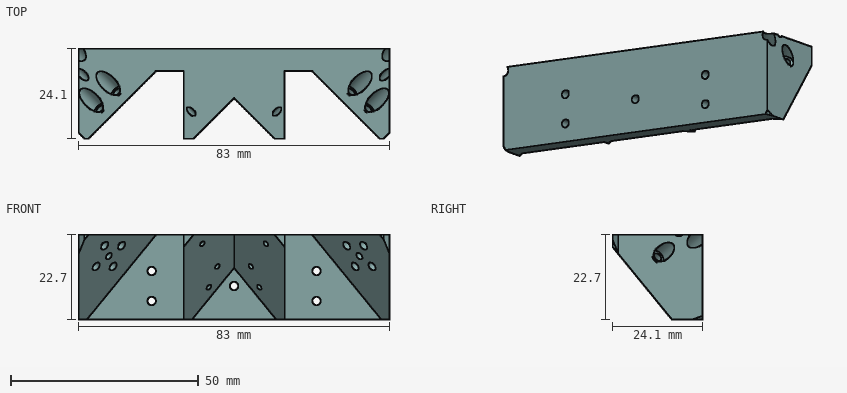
import cadquery as cq
import math

LENGTH = 83.0
DEPTH = 24.06
HEIGHT = 22.7
PLATE_THICKNESS = 6.0
END_CHAMFER = 1.56

TURN_FACTOR = math.sqrt(0.5)
LEAN = math.radians(30)
WING_CORNER_X = -20.8
BLOCK_HALF_WIDTH = 13.5
V_APEX_DEPTH = 13.25

SCREW_DIAMETER = 2.2
SIDE_SCREW_X = 22.0
SIDE_SCREW_HEIGHTS = (5.0, 13.0)
CENTER_SCREW_HEIGHT = 9.0

WING_PATTERN_ALONG = 14.55
WING_PATTERN_DOWN = 6.6
WING_PATTERN_PITCH = 6.4
WING_HOLE_DIAMETER = 2.4
COUNTERBORE_DIAMETER = 4.0
UPPER_BORE_FLOOR = 2.0
LOWER_BORE_FLOOR = 5.0
WING_CENTER_DIAMETER = 2.0

V_HOLES = ((10.6, 2.8), (1.4, 9.8), (1.4, 16.2))
V_HOLE_DIAMETER = 1.5
V_HOLE_DEPTH = 10.0

FACET_X = 0.58
FACET_Y = 2.9
FACET_Z = 1.07

REACH = 2 * LENGTH

INWARD = cq.Vector(-TURN_FACTOR * math.cos(LEAN), TURN_FACTOR * math.cos(LEAN), math.sin(LEAN))
WING_CORNER = (WING_CORNER_X, -PLATE_THICKNESS, HEIGHT)
V_APEX = (0, -V_APEX_DEPTH, HEIGHT)


def mirrored(shape):
    return shape.mirror("YZ")


def face_plane(origin):
    """Plane of a left-hand sloped face: x outward along its top edge, y up the slope, z inward."""
    return cq.Plane(origin=origin, xDir=(-TURN_FACTOR, -TURN_FACTOR, 0), normal=INWARD)


def open_side(origin):
    """Everything in front of a left-hand sloped face."""
    return cq.Workplane(face_plane(origin)).rect(2 * REACH, 2 * REACH).extrude(-REACH)


def drill(origin, along, down, diameter, length, start=0.0):
    """Cylinder square to a sloped face, beginning `start` behind the face."""
    plane = cq.Workplane(face_plane(origin)).workplane(offset=start)
    return plane.center(along, -down).circle(diameter / 2).extrude(length)


def front_space(x_min, x_max):
    """Full-height space in front of the back plate between two x positions."""
    size = (x_max - x_min, DEPTH, HEIGHT)
    return cq.Workplane("XY").box(*size, centered=False).translate((x_min, -PLATE_THICKNESS - DEPTH, 0))


def blank():
    block = cq.Workplane("XY").box(LENGTH, DEPTH, HEIGHT, centered=(True, False, False))
    return block.translate((0, -DEPTH, 0)).faces("<Y").edges("|Z").chamfer(END_CHAMFER)


def wing_notch():
    return front_space(-LENGTH, -BLOCK_HALF_WIDTH).intersect(open_side(WING_CORNER))


def v_notch():
    left = open_side(V_APEX)
    space = front_space(-BLOCK_HALF_WIDTH, BLOCK_HALF_WIDTH)
    return space.intersect(left).intersect(mirrored(left))


def wing_holes():
    tools = drill(WING_CORNER, WING_PATTERN_ALONG, WING_PATTERN_DOWN, WING_CENTER_DIAMETER, REACH)
    half = WING_PATTERN_PITCH / 2
    rows = (
        (WING_PATTERN_DOWN - half, UPPER_BORE_FLOOR),
        (WING_PATTERN_DOWN + half, LOWER_BORE_FLOOR),
    )
    for along in (WING_PATTERN_ALONG - half, WING_PATTERN_ALONG + half):
        for down, floor in rows:
            hole = drill(WING_CORNER, along, down, WING_HOLE_DIAMETER, REACH)
            bore = drill(WING_CORNER, along, down, COUNTERBORE_DIAMETER, REACH, floor)
            tools = tools.union(hole).union(bore)
    return tools


def v_holes():
    tools = cq.Workplane("XY")
    for along, down in V_HOLES:
        tools = tools.add(drill(V_APEX, along, down, V_HOLE_DIAMETER, V_HOLE_DEPTH))
    return tools.combine()


def corner_facet():
    """Tetrahedron at the left bottom back corner."""
    corner = (-LENGTH / 2, 0, 0)
    base = cq.Workplane("XY", origin=corner).polyline([(0, 0), (FACET_X, 0), (0, -FACET_Y)]).close()
    apex = cq.Vector(-LENGTH / 2, 0, FACET_Z)
    base_face = cq.Face.makeFromWires(base.wire().val())
    points = [vertex.Center() for vertex in base_face.Vertices()]
    sides = []
    for i, point in enumerate(points):
        triangle = cq.Wire.makePolygon([point, points[i - 1], apex], close=True)
        sides.append(cq.Face.makeFromWires(triangle))
    return cq.Workplane(cq.Solid.makeSolid(cq.Shell.makeShell([base_face] + sides)))


def screw_holes():
    points = [(0, CENTER_SCREW_HEIGHT)]
    for x in (-SIDE_SCREW_X, SIDE_SCREW_X):
        for z in SIDE_SCREW_HEIGHTS:
            points.append((x, z))
    return cq.Workplane("XZ").pushPoints(points).circle(SCREW_DIAMETER / 2).extrude(DEPTH)


result = blank().cut(v_notch()).cut(screw_holes())
for tool in (wing_notch(), wing_holes(), v_holes(), corner_facet()):
    result = result.cut(tool).cut(mirrored(tool))